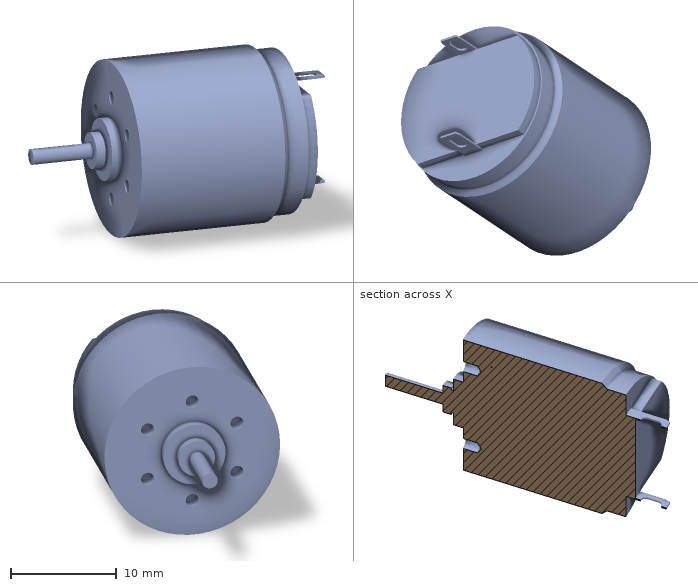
import cadquery as cq
import math


can_diameter = 17.0
can_length = 17.0
rear_rim_diameter = 15.9
rear_rim_length = 2.0
shoulder_length = (can_diameter - rear_rim_diameter) / 2

boss_diameter = 6.0
boss_length = 1.0
neck_diameter = 3.0
neck_length = 0.2
collar_diameter = 3.5
collar_length = 0.9
shaft_diameter = 1.5
shaft_length = 6.0

cap_diameter = 15.5
cap_length = 1.0
cap_flat_offset = 5.1

terminal_width = 2.0
terminal_length = 4.2
terminal_thickness = 0.2
tip_inset = 0.15
tip_length = 0.5
slot_width = 1.0
slot_length = 2.15
slot_tip_margin = 0.55

hole_count = 6
hole_diameter = 1.25
hole_circle_diameter = 10.0
hole_depth = 1.5
hole_point_angle = 118.0


def make_turned_body():
    """Can, boss, neck, collar and shaft as one revolved profile."""
    can_radius = can_diameter / 2
    rim_radius = rear_rim_diameter / 2
    rim_start = can_length - rear_rim_length
    boss_end = -boss_length
    neck_end = boss_end - neck_length
    collar_end = neck_end - collar_length
    shaft_end = collar_end - shaft_length
    profile = [
        (0, can_length),
        (rim_radius, can_length),
        (rim_radius, rim_start),
        (can_radius, rim_start - shoulder_length),
        (can_radius, 0),
        (boss_diameter / 2, 0),
        (boss_diameter / 2, boss_end),
        (neck_diameter / 2, boss_end),
        (neck_diameter / 2, neck_end),
        (collar_diameter / 2, neck_end),
        (collar_diameter / 2, collar_end),
        (shaft_diameter / 2, collar_end),
        (shaft_diameter / 2, shaft_end),
        (0, shaft_end),
    ]
    return cq.Workplane("XY").polyline(profile).close().revolve(360, (0, 0), (0, 1))


def make_end_cap():
    """Disc behind the can, cut by two flats parallel to the XY plane."""
    disc = (
        cq.Workplane("XZ", origin=(0, can_length, 0))
        .circle(cap_diameter / 2)
        .extrude(-cap_length)
    )
    flats = cq.Workplane("XY").box(cap_diameter, cap_length, 2 * cap_flat_offset)
    return disc.intersect(flats.translate((0, can_length + cap_length / 2, 0)))


def make_terminal(bottom_z):
    """Flat terminal with a narrowed tip and a wire slot."""
    half_width = terminal_width / 2
    tip_half_width = half_width - tip_inset
    tip_y = can_length + terminal_length
    slot_center_y = tip_y - slot_tip_margin - slot_length / 2
    outline = [
        (-half_width, can_length),
        (half_width, can_length),
        (half_width, tip_y - tip_length),
        (tip_half_width, tip_y),
        (-tip_half_width, tip_y),
        (-half_width, tip_y - tip_length),
    ]
    plate = (
        cq.Workplane("XY", origin=(0, 0, bottom_z))
        .polyline(outline)
        .close()
        .extrude(terminal_thickness)
    )
    slot = (
        cq.Workplane("XY", origin=(0, slot_center_y, bottom_z))
        .slot2D(slot_length, slot_width, 90)
        .extrude(terminal_thickness)
    )
    return plate.cut(slot)


def make_mounting_hole(angle):
    """Blind drilled hole with a conical bottom, at an angle around the axis."""
    radius = hole_diameter / 2
    point_depth = radius / math.tan(math.radians(hole_point_angle / 2))
    circle_radius = hole_circle_diameter / 2
    drill = (
        cq.Workplane("XY")
        .polyline([(0, 0), (radius, 0), (radius, hole_depth), (0, hole_depth + point_depth)])
        .close()
        .revolve(360, (0, 0), (0, 1))
    )
    x = circle_radius * math.cos(math.radians(angle))
    z = circle_radius * math.sin(math.radians(angle))
    return drill.translate((x, 0, z))


result = make_turned_body().union(make_end_cap())

for terminal_bottom in (cap_flat_offset, -cap_flat_offset - terminal_thickness):
    result = result.union(make_terminal(terminal_bottom))

for index in range(hole_count):
    result = result.cut(make_mounting_hole(90 + index * 360 / hole_count))